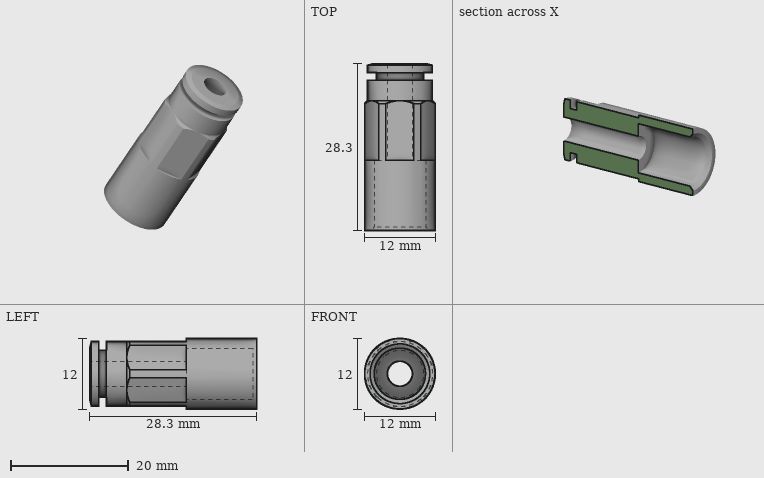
import cadquery as cq

length = 28.3
body_diameter = 12.0
across_flats = 11.0
groove_diameter = 8.0
bore_diameter = 8.72
mouth_diameter = 10.13
through_hole_diameter = 4.22

flats_start = 11.97
body_end = 22.05
groove_start = 25.53
groove_end = 26.8
bore_depth = flats_start

rim_chamfer_width = 1.0
rim_chamfer_height = 0.25

flat_count = 6

body_radius = body_diameter / 2
collar_radius = across_flats / 2
groove_radius = groove_diameter / 2
bore_radius = bore_diameter / 2
mouth_radius = mouth_diameter / 2
hole_radius = through_hole_diameter / 2
shoulder_chamfer = body_radius - collar_radius
mouth_chamfer = mouth_radius - bore_radius


def turned_body():
    """Revolve the complete half section, including the stepped bore, about Y."""
    section = [
        (mouth_radius, 0),
        (body_radius, 0),
        (body_radius, body_end - shoulder_chamfer),
        (collar_radius, body_end),
        (collar_radius, groove_start),
        (groove_radius, groove_start),
        (groove_radius, groove_end),
        (collar_radius, groove_end),
        (collar_radius, length - rim_chamfer_height),
        (collar_radius - rim_chamfer_width, length),
        (hole_radius, length),
        (hole_radius, bore_depth),
        (bore_radius, bore_depth),
        (bore_radius, mouth_chamfer),
    ]
    return cq.Workplane("XY").polyline(section).close().revolve(360, (0, 0), (0, 1))


def flat_cutter(angle):
    """Block that cuts one wrench flat, turned about Y from the +Z position."""
    flat_length = body_end - flats_start
    block = cq.Workplane("XY").box(
        body_diameter, flat_length, body_radius, centered=(True, False, False)
    )
    block = block.translate((0, flats_start, collar_radius))
    return block.rotate((0, 0, 0), (0, 1, 0), angle)


result = turned_body()
for index in range(flat_count):
    result = result.cut(flat_cutter(index * 360 / flat_count))